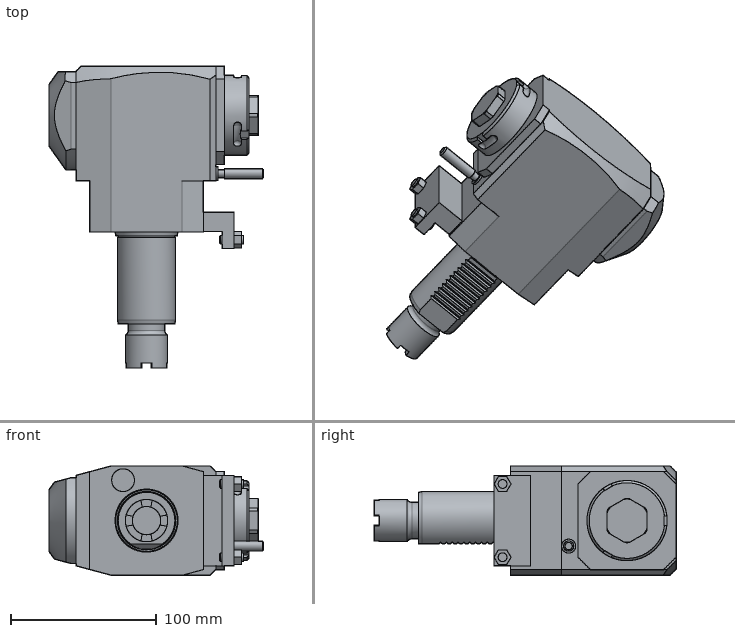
import cadquery as cq
import math

SPINDLE_Y = 80.0
SIDE_SLOPE = math.tan(math.radians(15))
HEX_HALF_SECTOR = 30.0

HOUSING_HALF_Z = 37.5
HOUSING_END_Y = 113.75
HOUSING_LEFT = -48.3
HOUSING_RIGHT = 47.6
FOOT_HALF_X = 39.0
FOOT_LENGTH = 35.0
FLAT_HALF_X = 24.3
FRONT_CHAMFER = 4.0
BACK_CHAMFER = 3.5
CROWN_RADIUS = 178.0
CROWN_CENTER_X = 9.0
CROWN_OFFSET = 47.4
CROWN_TOOL_LENGTH = 400.0
RECESS_X = -16.1
RECESS_Z = 27.7
RECESS_RADIUS = 7.8
RECESS_DEPTH = 1.0

CAP_LEFT = -67.0
CAP_RIM_X = -55.3
CAP_FLAT_X = -51.6
CAP_RADIUS = 37.5
CAP_FACE_RADIUS = 21.0
CAP_HALF_Z = 29.5
CAP_TOP = 30.0
CAP_CORNER = 52.0

PLATE_RIGHT = 53.3
PLATE_HALF = HOUSING_END_Y - SPINDLE_Y
PLATE_CORNER = 8.8
NUT_RIGHT = 70.3
NUT_RADIUS = 27.5
NUT_CHAMFER = 1.6
NUT_SLOT_COUNT = 3
NUT_SLOT_X = 62.4
NUT_SLOT_RADIUS = 2.7
NUT_SLOT_HALF_ANGLE = 14.5
NUT_KEYWAY_DEPTH = 2.0
NUT_KEYWAY_WIDTH = 6.4
HEX_RIGHT = 76.7
HEX_FLATS = 27.5
HEX_CORNER_RADIUS = 15.2
HEX_CHAMFER = 0.5

PIN_Y = 40.0
PIN_Z = -17.5
PIN_TIP = 80.33
PIN_RADIUS = 3.5
PIN_CHAMFER = 1.0
PIN_NECK_RADIUS = 2.8
PIN_FLANGE_RADIUS = 4.8
PIN_FLANGE_RIGHT = 49.0

COLLAR_RADIUS = 21.6
COLLAR_LENGTH = 2.6
COLLAR_TIP_RADIUS = 21.1
RELIEF_RADIUS = 19.5
RELIEF_END = -3.7
SHANK_RADIUS = 20.0
SHANK_END = -63.0
SHANK_CHAMFER_LENGTH = 2.6
SHANK_CHAMFER_DEPTH = 0.6
RACK_START = -3.9
RACK_FLAT_Z = -16.0
RACK_ROOT_Z = -14.8
RACK_PITCH = 4.0
RACK_FIRST = -11.8
RACK_GROOVES = 10
NECK_RADIUS = 12.6
NECK_END = -67.3
HEAD_RADIUS = 14.5
HEAD_START = -70.7
TANG_FLOOR = -89.9
TIP_Y = -93.25
BORE_RADIUS = 9.7
BORE_FLOOR = -88.9
TANG_COUNT = 4
TANG_INNER_HALF = 3.1
TANG_OUTER_HALF = 3.9

BRACKET_HALF_Z = 31.0
BRACKET_RIGHT = 60.0
BRACKET_LEG_LEFT = 51.8
BRACKET_TOP = 13.7
BRACKET_SETBACK = 0.3
BRACKET_TIP = -11.3
BOLT_Y = -5.3
BOLT_Z = 25.1
BOLT_RADIUS = 3.0
BOLT_CHAMFER = 0.8
BOLT_STUB_LEFT = 50.0
BOLT_HEAD_RIGHT = 65.2
BOLT_HEAD_FLATS = 10.0
BOLT_TIP_RIGHT = 66.5


def box(x0, x1, y0, y1, z0, z1):
    """Axis-aligned box between two corners."""
    return cq.Workplane("XY").box(x1 - x0, y1 - y0, z1 - z0, centered=False).translate((x0, y0, z0))


def rod_x(x0, x1, radius, y, z):
    """Cylinder along X between x0 and x1."""
    return cq.Workplane("YZ", origin=(x0, y, z)).circle(radius).extrude(x1 - x0)


def hexagon_x(x0, x1, flats, y, z, turn):
    """Hexagonal prism along X; turn = 0 puts two corners on the Y direction."""
    corners = flats / math.cos(math.radians(HEX_HALF_SECTOR))
    prism = cq.Workplane("YZ").polygon(6, corners).extrude(x1 - x0)
    return prism.rotate((0, 0, 0), (1, 0, 0), turn).translate((x0, y, z))


def prism_y(upper_points, y0, y1):
    """Prism along Y whose XZ outline mirrors the given upper points below Z = 0."""
    lower_points = [(x, -z) for x, z in reversed(upper_points)]
    outline = cq.Workplane("XZ", origin=(0, y1, 0)).polyline(upper_points + lower_points).close()
    return outline.extrude(y1 - y0)


def sloped_z(x):
    """Half height of the 15 degree side faces at the given distance from the shank axis."""
    return HOUSING_HALF_Z - (abs(x) - FLAT_HALF_X) * SIDE_SLOPE


def make_housing():
    head = prism_y(
        [
            (HOUSING_LEFT, sloped_z(HOUSING_LEFT)),
            (-FLAT_HALF_X, HOUSING_HALF_Z),
            (HOUSING_RIGHT - FRONT_CHAMFER, HOUSING_HALF_Z),
            (HOUSING_RIGHT, HOUSING_HALF_Z - FRONT_CHAMFER),
        ],
        FOOT_LENGTH,
        HOUSING_END_Y,
    )
    back_edge = cq.selectors.NearestToPointSelector((HOUSING_LEFT, HOUSING_END_Y, 0))
    head = head.edges(back_edge).chamfer(BACK_CHAMFER)
    for side in (1, -1):
        axis_offset = (CROWN_OFFSET - CROWN_RADIUS) / math.sqrt(2)
        crown_plane = cq.Plane(
            origin=(CROWN_CENTER_X, SPINDLE_Y + axis_offset, side * axis_offset),
            xDir=(1, 0, 0),
            normal=(0, 1, -side),
        )
        crown = cq.Workplane(crown_plane).circle(CROWN_RADIUS).extrude(CROWN_TOOL_LENGTH / 2, both=True)
        head = head.intersect(crown)
    foot = prism_y(
        [
            (-FOOT_HALF_X, sloped_z(FOOT_HALF_X)),
            (-FLAT_HALF_X, HOUSING_HALF_Z),
            (FLAT_HALF_X, HOUSING_HALF_Z),
            (FOOT_HALF_X, sloped_z(FOOT_HALF_X)),
        ],
        0,
        FOOT_LENGTH,
    )
    recess = cq.Workplane("XZ", origin=(RECESS_X, 0, RECESS_Z)).circle(RECESS_RADIUS).extrude(-RECESS_DEPTH)
    return head.union(foot).cut(recess)


def make_cap():
    turned = (
        cq.Workplane("XY", origin=(0, SPINDLE_Y, 0))
        .polyline(
            [
                (HOUSING_LEFT, 0),
                (HOUSING_LEFT, CAP_RADIUS),
                (CAP_RIM_X, CAP_RADIUS),
                (CAP_LEFT, CAP_FACE_RADIUS),
                (CAP_LEFT, 0),
            ]
        )
        .close()
        .revolve(360, (0, 0), (1, 0))
    )
    side_envelope = prism_y(
        [
            (CAP_LEFT, CAP_HALF_Z - (CAP_FLAT_X - CAP_LEFT) * SIDE_SLOPE),
            (CAP_FLAT_X, CAP_HALF_Z),
            (HOUSING_LEFT, CAP_HALF_Z),
        ],
        SPINDLE_Y - CAP_RADIUS,
        SPINDLE_Y + CAP_TOP,
    )
    corner_z = CAP_CORNER - CAP_TOP
    corner_y = CAP_CORNER - CAP_RADIUS
    end_envelope = (
        cq.Workplane("YZ", origin=(CAP_LEFT, SPINDLE_Y, 0))
        .polyline(
            [
                (-CAP_RADIUS, -CAP_RADIUS),
                (corner_y, -CAP_RADIUS),
                (CAP_TOP, -corner_z),
                (CAP_TOP, corner_z),
                (corner_y, CAP_RADIUS),
                (-CAP_RADIUS, CAP_RADIUS),
            ]
        )
        .close()
        .extrude(HOUSING_LEFT - CAP_LEFT)
    )
    return turned.intersect(side_envelope).intersect(end_envelope)


def make_nut():
    nut = rod_x(PLATE_RIGHT, NUT_RIGHT, NUT_RADIUS, SPINDLE_Y, 0).faces(">X").chamfer(NUT_CHAMFER)
    floor_y = SPINDLE_Y + NUT_RADIUS - NUT_KEYWAY_DEPTH
    nut_axis_start = (0, SPINDLE_Y, 0)
    nut_axis_end = (1, SPINDLE_Y, 0)
    groove = (
        cq.Workplane("XY", origin=(NUT_SLOT_X, SPINDLE_Y + NUT_RADIUS, 0))
        .circle(NUT_SLOT_RADIUS)
        .revolve(2 * NUT_SLOT_HALF_ANGLE, (0, -NUT_RADIUS), (1, -NUT_RADIUS))
        .rotate(nut_axis_start, nut_axis_end, -NUT_SLOT_HALF_ANGLE)
    )
    ball = cq.Workplane("XY").sphere(NUT_SLOT_RADIUS).translate((NUT_SLOT_X, SPINDLE_Y + NUT_RADIUS, 0))
    end_angles = (NUT_SLOT_HALF_ANGLE, -NUT_SLOT_HALF_ANGLE)
    ball_ends = [ball.rotate(nut_axis_start, nut_axis_end, angle) for angle in end_angles]
    keyway = box(
        NUT_SLOT_X,
        NUT_RIGHT,
        floor_y,
        SPINDLE_Y + NUT_RADIUS + NUT_KEYWAY_DEPTH,
        -NUT_KEYWAY_WIDTH / 2,
        NUT_KEYWAY_WIDTH / 2,
    )
    for index in range(NUT_SLOT_COUNT):
        turn = index * 360 / NUT_SLOT_COUNT
        for cutter in (keyway, groove, *ball_ends):
            nut = nut.cut(cutter.rotate(nut_axis_start, nut_axis_end, turn))
    return nut


def make_spindle_nose():
    plate = (
        cq.Workplane("YZ", origin=(HOUSING_RIGHT, SPINDLE_Y, 0))
        .rect(2 * PLATE_HALF, 2 * PLATE_HALF)
        .extrude(PLATE_RIGHT - HOUSING_RIGHT)
        .edges("|X")
        .chamfer(PLATE_CORNER)
    )
    blank = rod_x(NUT_RIGHT, HEX_RIGHT, HEX_CORNER_RADIUS, SPINDLE_Y, 0).faces(">X").chamfer(HEX_CHAMFER)
    hexagon = hexagon_x(NUT_RIGHT, HEX_RIGHT, HEX_FLATS, SPINDLE_Y, 0, HEX_HALF_SECTOR)
    return plate.union(make_nut()).union(hexagon.intersect(blank))


def make_coolant_pin():
    flange = rod_x(HOUSING_RIGHT, PIN_FLANGE_RIGHT, PIN_FLANGE_RADIUS, PIN_Y, PIN_Z)
    neck = rod_x(HOUSING_RIGHT, PLATE_RIGHT, PIN_NECK_RADIUS, PIN_Y, PIN_Z)
    pin = rod_x(PLATE_RIGHT, PIN_TIP, PIN_RADIUS, PIN_Y, PIN_Z).faces(">X").chamfer(PIN_CHAMFER)
    return flange.union(neck).union(pin)


def make_rack_cutter():
    """Flat and cross grooves on the underside of the shank, with a 45 degree run-in."""
    points = [
        (RACK_START, -COLLAR_RADIUS),
        (RACK_START, -SHANK_RADIUS),
        (RACK_START - (SHANK_RADIUS + RACK_FLAT_Z), RACK_FLAT_Z),
    ]
    half_groove = RACK_ROOT_Z - RACK_FLAT_Z
    for index in range(RACK_GROOVES):
        groove_y = RACK_FIRST - index * RACK_PITCH
        points.append((groove_y + half_groove, RACK_FLAT_Z))
        points.append((groove_y, RACK_ROOT_Z))
        points.append((groove_y - half_groove, RACK_FLAT_Z))
    points.append((SHANK_END, RACK_FLAT_Z))
    points.append((SHANK_END, -COLLAR_RADIUS))
    return cq.Workplane("YZ").polyline(points).close().extrude(SHANK_RADIUS, both=True)


def make_shank():
    turned = (
        cq.Workplane("XY")
        .polyline(
            [
                (0, 0),
                (COLLAR_RADIUS, 0),
                (COLLAR_TIP_RADIUS, -COLLAR_LENGTH),
                (RELIEF_RADIUS, -COLLAR_LENGTH),
                (RELIEF_RADIUS, RELIEF_END),
                (SHANK_RADIUS, RELIEF_END),
                (SHANK_RADIUS, SHANK_END + SHANK_CHAMFER_LENGTH),
                (SHANK_RADIUS - SHANK_CHAMFER_DEPTH, SHANK_END),
                (NECK_RADIUS, SHANK_END),
                (NECK_RADIUS, NECK_END),
            ]
        )
        .tangentArcPoint((HEAD_RADIUS, HEAD_START), relative=False)
        .lineTo(HEAD_RADIUS, TIP_Y)
        .lineTo(0, TIP_Y)
        .close()
        .revolve(360, (0, 0), (0, 1))
    )
    bore = cq.Workplane("XZ", origin=(0, BORE_FLOOR, 0)).circle(BORE_RADIUS).extrude(BORE_FLOOR - TIP_Y)
    shank = turned.cut(make_rack_cutter()).cut(bore)
    flare = (TANG_OUTER_HALF - TANG_INNER_HALF) / (HEAD_RADIUS - BORE_RADIUS)
    axis_half = TANG_INNER_HALF - BORE_RADIUS * flare
    slot = (
        cq.Workplane("XZ", origin=(0, TANG_FLOOR, 0))
        .polyline(
            [
                (0, -axis_half),
                (HEAD_RADIUS, -TANG_OUTER_HALF),
                (HEAD_RADIUS, TANG_OUTER_HALF),
                (0, axis_half),
            ]
        )
        .close()
        .extrude(TANG_FLOOR - TIP_Y)
    )
    for index in range(TANG_COUNT):
        shank = shank.cut(slot.rotate((0, 0, 0), (0, 1, 0), index * 360 / TANG_COUNT))
    return shank


def make_bracket():
    arm = box(FOOT_HALF_X, BRACKET_RIGHT, BRACKET_SETBACK, BRACKET_TOP, -BRACKET_HALF_Z, BRACKET_HALF_Z)
    leg = box(BRACKET_LEG_LEFT, BRACKET_RIGHT, BRACKET_TIP, BRACKET_SETBACK, -BRACKET_HALF_Z, BRACKET_HALF_Z)
    bracket = arm.union(leg)
    for bolt_z in (BOLT_Z, -BOLT_Z):
        stem = rod_x(BOLT_STUB_LEFT, BOLT_TIP_RIGHT, BOLT_RADIUS, BOLT_Y, bolt_z)
        stem = stem.faces("<X").chamfer(BOLT_CHAMFER)
        head = hexagon_x(BRACKET_RIGHT, BOLT_HEAD_RIGHT, BOLT_HEAD_FLATS, BOLT_Y, bolt_z, 0)
        bracket = bracket.union(stem).union(head)
    return bracket


result = (
    make_housing()
    .union(make_cap())
    .union(make_spindle_nose())
    .union(make_coolant_pin())
    .union(make_shank())
    .union(make_bracket())
)